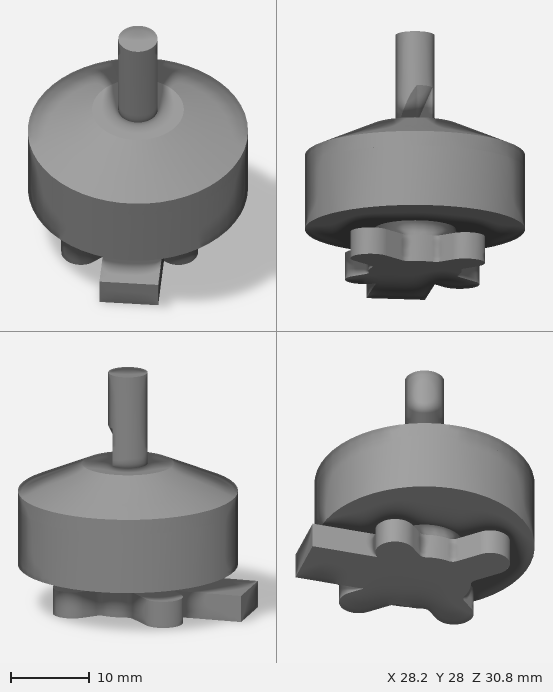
import cadquery as cq
import math

mount_thickness = 3.45
can_bottom = 5.47
can_top = 13.22
cap_rim_top = 15.13
cap_top = 18.75
relief_top = 23.75
shaft_top = 30.75

rotor_diameter = 28.0
cap_flat_diameter = 11.7
shaft_diameter = 5.0

relief_start_angle = 133.0
relief_end_angle = 190.0
relief_toe_angle = 72.0
relief_overshoot = 2.0

hub_diameter = 11.85
arm_width = 5.0
x_arm_reach = 8.0
y_arm_reach = 9.47
arm_root_fillet = 0.98
neck_bottom_diameter = 11.47
neck_top_diameter = 10.4

block_width = 7.5
block_reach = 16.08
block_offset = 0.2
block_angle = -45.0


def hub_corner_box():
    """Selector for the edges where the arms leave the hub, short of the arm ends."""
    corner = math.sqrt((hub_diameter / 2) ** 2 - (arm_width / 2) ** 2)
    limit = (corner + x_arm_reach) / 2
    return cq.selectors.BoxSelector((-limit, -limit, 0), (limit, limit, mount_thickness))


def make_mount():
    """Four-armed base with the wire block and the tapered neck."""
    x_arm = cq.Workplane("XY").slot2D(2 * x_arm_reach + arm_width, arm_width).extrude(mount_thickness)
    y_arm = cq.Workplane("XY").slot2D(2 * y_arm_reach + arm_width, arm_width, 90).extrude(mount_thickness)
    hub = cq.Workplane("XY").circle(hub_diameter / 2).extrude(mount_thickness)
    spider = hub.union(x_arm).union(y_arm)

    spider = spider.edges(hub_corner_box()).edges("|Z").fillet(arm_root_fillet)

    block = (
        cq.Workplane("XY")
        .rect(block_reach, block_width)
        .extrude(mount_thickness)
        .translate((block_reach / 2, block_offset, 0))
        .rotate((0, 0, 0), (0, 0, 1), block_angle)
    )
    neck = (
        cq.Workplane("XY", origin=(0, 0, mount_thickness))
        .circle(neck_bottom_diameter / 2)
        .workplane(offset=can_bottom - mount_thickness)
        .circle(neck_top_diameter / 2)
        .loft()
    )
    return spider.union(block).union(neck).solids()


def make_can():
    """Cylindrical lower part of the rotor."""
    return (
        cq.Workplane("XY", origin=(0, 0, can_bottom))
        .circle(rotor_diameter / 2)
        .extrude(can_top - can_bottom)
    )


def make_cap():
    """Rotor cap: a straight rim below a cone with a flat top."""
    return (
        cq.Workplane("XZ")
        .moveTo(0, can_top)
        .lineTo(rotor_diameter / 2, can_top)
        .lineTo(rotor_diameter / 2, cap_rim_top)
        .lineTo(cap_flat_diameter / 2, cap_top)
        .lineTo(0, cap_top)
        .close()
        .revolve(360, (0, 0), (0, 1))
    )


def make_relief_cone():
    """Sector cut below a cone whose tip is on the axis at the shaft's foot."""
    reach = relief_overshoot * shaft_diameter / 2
    rise = relief_overshoot * (relief_top - cap_top)
    return (
        cq.Workplane("XZ", origin=(0, 0, cap_top))
        .polyline([(0, 0), (reach, 0), (reach, rise)])
        .close()
        .revolve(relief_end_angle - relief_start_angle, (0, 0), (0, 1))
    )


def make_relief_wedge():
    """Four-faced wedge that carries the relief on to its toe at the shaft's foot."""
    reach = relief_overshoot * shaft_diameter / 2
    rise = relief_overshoot * (relief_top - cap_top)
    start = math.radians(relief_start_angle)
    toe = math.radians(relief_toe_angle)
    tip = cq.Vector(0, 0, cap_top)
    start_foot = cq.Vector(reach * math.cos(start), reach * math.sin(start), cap_top)
    start_peak = start_foot + cq.Vector(0, 0, rise)
    toe_foot = cq.Vector(reach * math.cos(toe), reach * math.sin(toe), cap_top)
    triangles = [
        (tip, start_foot, toe_foot),
        (tip, start_peak, start_foot),
        (tip, toe_foot, start_peak),
        (start_foot, start_peak, toe_foot),
    ]
    faces = [
        cq.Face.makeFromWires(cq.Wire.makePolygon([*corners, corners[0]]))
        for corners in triangles
    ]
    return cq.Workplane(cq.Solid.makeSolid(cq.Shell.makeShell(faces)))


def make_shaft():
    """Round shaft standing on the cap, relieved on one side at its foot."""
    shaft = (
        cq.Workplane("XY", origin=(0, 0, cap_top))
        .circle(shaft_diameter / 2)
        .extrude(shaft_top - cap_top)
    )
    cone = make_relief_cone().rotate((0, 0, 0), (0, 0, 1), relief_start_angle)
    return shaft.cut(cone).cut(make_relief_wedge()).solids()


mount = make_mount()
can = make_can()
cap = make_cap()
shaft = make_shaft()

result = cq.Compound.makeCompound([mount.val(), can.val(), cap.val(), shaft.val()])